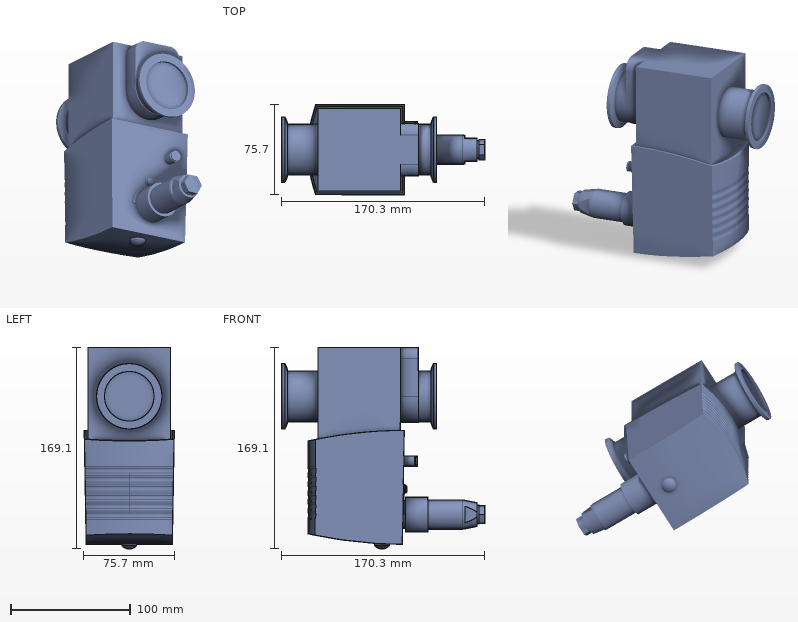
import math
import cadquery as cq


BLOCK_SIDE = 69.2
BLOCK_TOP = 41.0

PORT_REACH = 65.0
TUBE_RADIUS = 21.4
FLANGE_RADIUS = 27.5
FLANGE_THICKNESS = 4.7
FLANGE_RIM = 1.9
FLANGE_RIM_TAPER = 0.9
FLANGE_RIM_DROP = 0.15
FLANGE_NECK_RADIUS = 22.9
RECESS_RADIUS = 20.8
RECESS_DEPTH = 2.5

BOSS_REACH = 49.7
BOSS_RADIUS = 21.9
BOSS_CORNER = 9.5

HOUSING_FRONT = -43.0
HOUSING_BACK = 37.85
HOUSING_HALF_WIDTH = 37.85
HOUSING_TOP = -28.6
HOUSING_BOTTOM = -124.2
HOUSING_DRAFT = math.radians(1.0)
CROWN_RADIUS = 371.0
FRONT_RADIUS = 113.0
RIM_WALL = 1.7
RIM_FLOOR = -40.0

WAVE_TOP = -58.8
WAVE_COUNT = 6
WAVE_PITCH = 7.45
WAVE_DEPTH = 0.5

FITTING_Y = 19.1
FITTING_Z = -54.3
FITTING_RADIUS = 4.4
FITTING_GROOVE_RADIUS = 2.8
FITTING_REACH = 48.8
FITTING_GROOVE_START = 46.5
FITTING_GROOVE_WIDTH = 0.9
PLUG_Z = -77.9
PLUG_WASHER_RADIUS = 4.1
PLUG_WASHER_REACH = 37.8
PLUG_HEAD_RADIUS = 3.3
PLUG_HEAD_REACH = 39.9
PLUG_HEAD_CHAMFER = 0.9
SCREW_X = 19.0
SCREW_RADIUS = 6.2
SCREW_RIM_Z = -125.1
SCREW_BOTTOM = -128.1

CABLE_Z = -99.2
CABLE_NECK_RADIUS = 11.9
SEAT_RADIUS = 16.5
SEAT_REACH = 37.7
COLLAR_START = 38.8
COLLAR_END = 57.6
COLLAR_RADIUS = 14.7
CABLE_BODY_RADIUS = 12.4
CONE_START = 86.8
CONE_END = 98.9
CONE_END_RADIUS = 9.9
CABLE_FLAT_START = 88.7
CABLE_FLAT_HALF_WIDTH = 9.8
NUT_START = 100.4
NUT_END = 105.3
NUT_SPIGOT_RADIUS = 7.9
NUT_ACROSS_FLATS = 15.0

EMBED = 5.0


def rod(start, end, radius, y=0.0, z=0.0):
    """Cylinder along X between two stations."""
    return cq.Workplane("YZ", origin=(start, y, z)).circle(radius).extrude(end - start)


def make_port():
    """Flanged tube along +X with a shallow blind recess in its face."""
    neck = PORT_REACH - FLANGE_THICKNESS
    rim = PORT_REACH - FLANGE_RIM
    profile = [
        (0, 0),
        (0, TUBE_RADIUS),
        (neck, TUBE_RADIUS),
        (neck, FLANGE_NECK_RADIUS),
        (rim - FLANGE_RIM_TAPER, FLANGE_RADIUS - FLANGE_RIM_DROP),
        (rim, FLANGE_RADIUS),
        (PORT_REACH, FLANGE_RADIUS),
        (PORT_REACH, RECESS_RADIUS),
        (PORT_REACH - RECESS_DEPTH, RECESS_RADIUS),
        (PORT_REACH - RECESS_DEPTH, 0),
    ]
    return cq.Workplane("XY").polyline(profile).close().revolve(360, (0, 0, 0), (1, 0, 0))


def make_block():
    height = BLOCK_TOP - RIM_FLOOR + EMBED
    return cq.Workplane("XY", origin=(0, 0, BLOCK_TOP - height / 2)).box(BLOCK_SIDE, BLOCK_SIDE, height)


def make_boss():
    """Boss with rounded upper corners and a half-round underside."""
    shoulder_z = BLOCK_TOP - BOSS_CORNER
    shoulder_y = BOSS_RADIUS - BOSS_CORNER
    return (
        cq.Workplane("YZ", origin=(BLOCK_SIDE / 2, 0, 0))
        .moveTo(-BOSS_RADIUS, 0)
        .threePointArc((0, -BOSS_RADIUS), (BOSS_RADIUS, 0))
        .lineTo(BOSS_RADIUS, shoulder_z)
        .radiusArc((shoulder_y, BLOCK_TOP), -BOSS_CORNER)
        .lineTo(-shoulder_y, BLOCK_TOP)
        .radiusArc((-BOSS_RADIUS, shoulder_z), -BOSS_CORNER)
        .close()
        .extrude(BOSS_REACH - BLOCK_SIDE / 2)
    )


def crown_drop(x):
    """Fall of the crowned top (and rise of the bottom) at a given X."""
    return CROWN_RADIUS - math.sqrt(CROWN_RADIUS**2 - (HOUSING_BACK - x) ** 2)


def make_front_envelope():
    """Body of revolution whose convex side carries the grip waves."""
    axis_x = HOUSING_FRONT + FRONT_RADIUS
    ridge = HOUSING_FRONT
    middle = ridge + WAVE_DEPTH / 2
    groove = ridge + WAVE_DEPTH
    quarter = WAVE_PITCH / 4
    wave_radius = (quarter**2 + (WAVE_DEPTH / 2) ** 2) / WAVE_DEPTH
    outline = cq.Workplane("XZ").moveTo(axis_x, 0).lineTo(ridge, 0).lineTo(ridge, WAVE_TOP)
    for i in range(WAVE_COUNT):
        top = WAVE_TOP - i * WAVE_PITCH
        outline = (
            outline.radiusArc((middle, top - quarter), -wave_radius)
            .radiusArc((groove, top - 2 * quarter), wave_radius)
            .radiusArc((middle, top - 3 * quarter), wave_radius)
            .radiusArc((ridge, top - 4 * quarter), -wave_radius)
        )
    outline = outline.lineTo(ridge, SCREW_BOTTOM).lineTo(axis_x, SCREW_BOTTOM).close()
    return outline.revolve(360, (axis_x, 0, 0), (axis_x, 1, 0))


def make_housing():
    inset = (HOUSING_TOP - HOUSING_BOTTOM) * math.tan(HOUSING_DRAFT)
    back_bottom = HOUSING_BACK - inset
    half_bottom = HOUSING_HALF_WIDTH - inset
    front_drop = crown_drop(HOUSING_FRONT)

    side = (
        cq.Workplane("XZ")
        .moveTo(HOUSING_FRONT, HOUSING_TOP - front_drop)
        .radiusArc((HOUSING_BACK, HOUSING_TOP), CROWN_RADIUS)
        .lineTo(back_bottom, HOUSING_BOTTOM)
        .radiusArc((HOUSING_FRONT, HOUSING_BOTTOM + front_drop), CROWN_RADIUS)
        .close()
        .extrude(HOUSING_HALF_WIDTH, both=True)
    )
    cross_section = [
        (-half_bottom, HOUSING_BOTTOM),
        (half_bottom, HOUSING_BOTTOM),
        (HOUSING_HALF_WIDTH, HOUSING_TOP),
        (-HOUSING_HALF_WIDTH, HOUSING_TOP),
    ]
    width = (
        cq.Workplane("YZ", origin=(HOUSING_FRONT, 0, 0))
        .polyline(cross_section)
        .close()
        .extrude(HOUSING_BACK - HOUSING_FRONT)
    )
    return side.intersect(width).intersect(make_front_envelope()).cut(make_rim_pocket())


def make_rim_pocket():
    """Pocket that leaves a thin raised rim around the block."""
    front = HOUSING_FRONT + RIM_WALL
    back = HOUSING_BACK - RIM_WALL
    half = HOUSING_HALF_WIDTH - RIM_WALL
    radius = FRONT_RADIUS - RIM_WALL
    corner_x = front + radius - math.sqrt(radius**2 - half**2)
    return (
        cq.Workplane("XY", origin=(0, 0, RIM_FLOOR))
        .moveTo(back, -half)
        .lineTo(back, half)
        .lineTo(corner_x, half)
        .threePointArc((front, 0), (corner_x, -half))
        .close()
        .extrude(HOUSING_TOP - RIM_FLOOR)
    )


def make_air_fitting():
    start = HOUSING_BACK - EMBED
    groove_end = FITTING_GROOVE_START + FITTING_GROOVE_WIDTH
    body = rod(start, FITTING_GROOVE_START, FITTING_RADIUS, FITTING_Y, FITTING_Z)
    core = rod(start, FITTING_REACH, FITTING_GROOVE_RADIUS, FITTING_Y, FITTING_Z)
    end_ring = rod(groove_end, FITTING_REACH, FITTING_RADIUS, FITTING_Y, FITTING_Z)
    return body.union(core).union(end_ring)


def make_plug_screw():
    start = HOUSING_BACK - EMBED
    washer = rod(start, PLUG_WASHER_REACH, PLUG_WASHER_RADIUS, z=PLUG_Z)
    head = rod(start, PLUG_HEAD_REACH, PLUG_HEAD_RADIUS, z=PLUG_Z)
    return washer.union(head.faces(">X").chamfer(PLUG_HEAD_CHAMFER))


def make_bottom_screw():
    """Domed screw head under the housing."""
    dome_height = SCREW_RIM_Z - SCREW_BOTTOM
    dome_radius = (SCREW_RADIUS**2 + dome_height**2) / (2 * dome_height)
    return (
        cq.Workplane("XZ", origin=(SCREW_X, 0, 0))
        .moveTo(0, HOUSING_BOTTOM + EMBED)
        .lineTo(SCREW_RADIUS, HOUSING_BOTTOM + EMBED)
        .lineTo(SCREW_RADIUS, SCREW_RIM_Z)
        .radiusArc((0, SCREW_BOTTOM), dome_radius)
        .close()
        .revolve(360, (0, 0, 0), (0, 1, 0))
    )


def make_connector_seat():
    """Half-disc pad above the connector centre line."""
    return (
        cq.Workplane("YZ", origin=(HOUSING_BACK - EMBED, 0, CABLE_Z))
        .moveTo(-SEAT_RADIUS, 0)
        .threePointArc((0, SEAT_RADIUS), (SEAT_RADIUS, 0))
        .close()
        .extrude(SEAT_REACH - HOUSING_BACK + EMBED)
    )


def make_cable_connector():
    """Stepped round connector with a flatted cone and a hexagon nut."""
    profile = [
        (HOUSING_BACK - EMBED, 0),
        (HOUSING_BACK - EMBED, CABLE_NECK_RADIUS),
        (COLLAR_START, CABLE_NECK_RADIUS),
        (COLLAR_START, COLLAR_RADIUS),
        (COLLAR_END, COLLAR_RADIUS),
        (COLLAR_END, CABLE_BODY_RADIUS),
        (CONE_START, CABLE_BODY_RADIUS),
        (CONE_END, CONE_END_RADIUS),
        (CONE_END, NUT_SPIGOT_RADIUS),
        (NUT_START, NUT_SPIGOT_RADIUS),
        (NUT_START, 0),
    ]
    connector = (
        cq.Workplane("XZ", origin=(0, 0, CABLE_Z))
        .polyline(profile)
        .close()
        .revolve(360, (0, 0, 0), (1, 0, 0))
    )
    flat_length = CONE_END - CABLE_FLAT_START
    flat_centre_x = (CONE_END + CABLE_FLAT_START) / 2
    for side in (-1, 1):
        flat_centre_y = side * (CABLE_FLAT_HALF_WIDTH + CABLE_BODY_RADIUS / 2)
        flat = cq.Workplane("XY", origin=(flat_centre_x, flat_centre_y, CABLE_Z)).box(
            flat_length, CABLE_BODY_RADIUS, 2 * CABLE_BODY_RADIUS
        )
        connector = connector.cut(flat)
    across_corners = NUT_ACROSS_FLATS / math.cos(math.radians(30))
    nut = (
        cq.Workplane("YZ", origin=(NUT_START, 0, CABLE_Z))
        .polygon(6, across_corners)
        .extrude(NUT_END - NUT_START)
    )
    return connector.union(nut)


port = make_port()
valve_body = make_block().union(make_boss()).clean()
result = (
    valve_body.union(make_housing())
    .union(port)
    .union(port.mirror("YZ"))
    .union(make_air_fitting())
    .union(make_plug_screw())
    .union(make_bottom_screw())
    .union(make_connector_seat())
    .union(make_cable_connector())
)